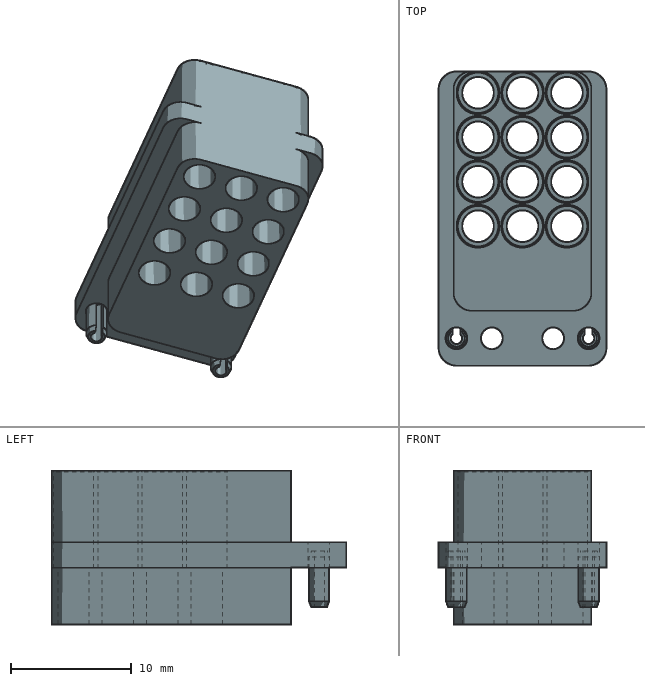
import cadquery as cq

plate_width = 13.92
plate_length = 24.38
plate_thickness = 2.11
corner_radius = 1.524

overall_height = 12.74
block_width = 11.42
block_length = 19.82
block_drop = 4.71

socket_columns = 3
socket_rows = 4
socket_pitch = 3.68
first_row_inset = 1.78
socket_bore = 3.34
socket_mouth = 3.56
mouth_chamfer = (socket_mouth - socket_bore) / 2
socket_through = 2.6
ledge_height = 0

lip_hole_y = -22.1
lip_hole_diameter = 1.78
lip_hole_spacing = 5.07

pin_spacing = 10.94
pin_hole_diameter = 1.78
pin_diameter = 1.73
pin_bore = 0.93
pin_slot = 0.6
pin_drop = 3.27
pin_length = 4.65
pin_chamfer_height = 0.48
pin_chamfer_width = 0.18

pin_positions = [(side * pin_spacing / 2, lip_hole_y) for side in (-1, 1)]
lip_hole_positions = [(side * lip_hole_spacing / 2, lip_hole_y) for side in (-1, 1)]
socket_positions = [
    ((column - (socket_columns - 1) / 2) * socket_pitch, -first_row_inset - row * socket_pitch)
    for column in range(socket_columns)
    for row in range(socket_rows)
]


def rounded_slab(width, length, bottom, height):
    """Slab with rounded vertical corners, reaching forward from the rear edge."""
    slab = cq.Workplane("XY", origin=(0, -length / 2, bottom)).box(
        width, length, height, centered=(True, True, False)
    )
    return slab.edges("|Z").fillet(corner_radius)


def round_cutters(positions, diameter, bottom, height):
    """Upright cylinders, one at each position."""
    return (
        cq.Workplane("XY", origin=(0, 0, bottom))
        .pushPoints(positions)
        .circle(diameter / 2)
        .extrude(height)
    )


def socket_cutter(x, y):
    """Solid of one socket: narrow hole, wide bore and chamfered mouth."""
    bottom = -block_drop
    top = bottom + overall_height
    profile = [
        (0, bottom),
        (socket_through / 2, bottom),
        (socket_through / 2, ledge_height),
        (socket_bore / 2, ledge_height),
        (socket_bore / 2, top - mouth_chamfer),
        (socket_mouth / 2, top),
        (0, top),
    ]
    socket = cq.Workplane("XZ").polyline(profile).close().revolve(360, (0, 0), (0, 1))
    return socket.translate((x, y, 0))


def make_housing():
    """Plate and block as one solid, with the sockets and lip holes cut through."""
    plate = rounded_slab(plate_width, plate_length, 0, plate_thickness)
    block = rounded_slab(block_width, block_length, -block_drop, overall_height)
    housing = plate.union(block)
    for x, y in socket_positions:
        housing = housing.cut(socket_cutter(x, y))
    housing = housing.cut(round_cutters(lip_hole_positions, lip_hole_diameter, 0, plate_thickness))
    return housing.cut(round_cutters(pin_positions, pin_hole_diameter, 0, plate_thickness))


def make_pin(x, y):
    """Tube with tapered ends and a lengthwise slot facing the block."""
    pin = (
        cq.Workplane("XY")
        .circle(pin_diameter / 2)
        .extrude(pin_length)
        .faces("<Z or >Z")
        .chamfer(pin_chamfer_height, pin_chamfer_width)
    )
    bore = cq.Workplane("XY").circle(pin_bore / 2).extrude(pin_length)
    slot = cq.Workplane("XY").box(pin_slot, pin_diameter, pin_length, centered=(True, False, False))
    return pin.cut(bore).cut(slot).translate((x, y, -pin_drop))


housing = make_housing()
pins = [make_pin(x, y) for x, y in pin_positions]

result = cq.Compound.makeCompound([housing.val(), *[pin.val() for pin in pins]])